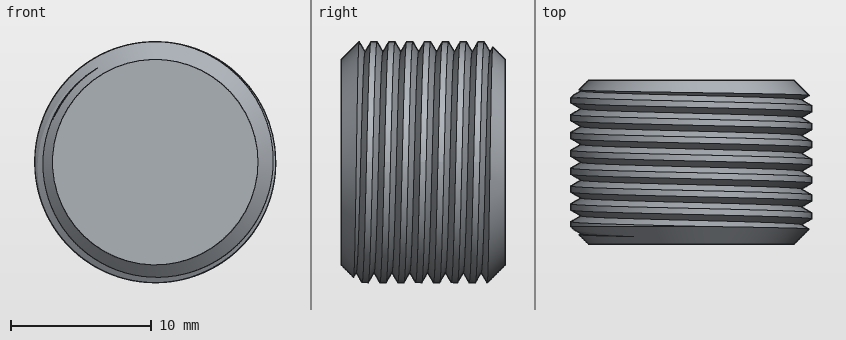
import cadquery as cq
import math

outer_diameter = 17.14
length = 11.67
chamfer = 1.27
pitch = 1.27
thread_depth = 0.72
flank_half_angle = 30.0
first_root = 0.12
groove_overshoot = 0.09
rod_extension = 3.43

outer_radius = outer_diameter / 2
root_radius = outer_radius - thread_depth


def chamfered_blank():
    """Solid cylinder standing on its front face, with 45 degree chamfers."""
    return cq.Workplane("XY").circle(outer_radius).extrude(length).faces("|Z").chamfer(chamfer)


def long_rod():
    """Plain rod of the thread diameter, longer than the plug at both ends."""
    rod = cq.Workplane("XY").circle(outer_radius).extrude(length + 2 * rod_extension)
    return rod.translate((0, 0, -rod_extension))


def thread_cutter():
    """Sharp V groove swept along a left-hand helix past both ends of the plug."""
    cutter_radius = outer_radius + groove_overshoot
    half_width = (cutter_radius - root_radius) * math.tan(math.radians(flank_half_angle))
    start = first_root - pitch
    turns = math.ceil((length - start) / pitch)
    helix = cq.Wire.makeHelix(pitch, turns * pitch, root_radius, lefthand=True)
    groove = (
        cq.Workplane("XZ")
        .moveTo(root_radius, 0)
        .lineTo(cutter_radius, half_width)
        .lineTo(cutter_radius, -half_width)
        .close()
        .sweep(cq.Workplane(obj=helix), isFrenet=True)
    )
    return groove.translate((0, 0, start))


threaded_rod = long_rod().cut(thread_cutter())
upright_plug = threaded_rod.intersect(chamfered_blank())
result = upright_plug.rotate((0, 0, 0), (1, 0, 0), -90)